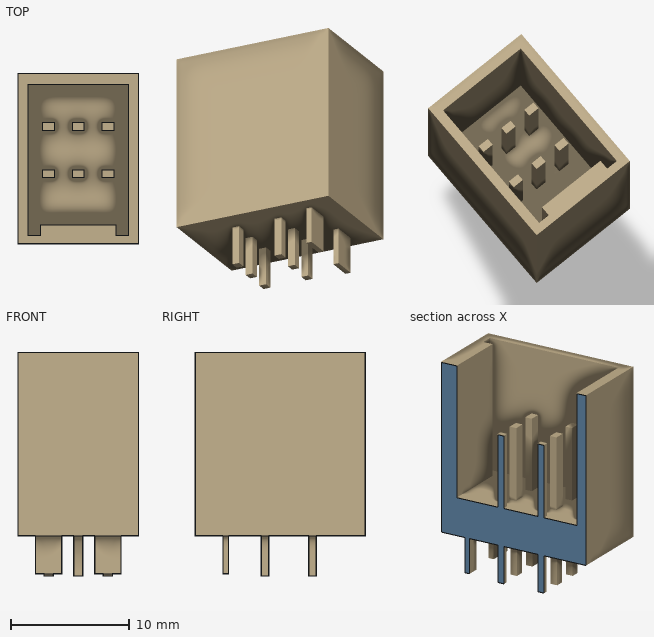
import cadquery as cq

BODY_X = 10.2
BODY_Y = 14.4
BODY_Z = 15.5

SIDE_WALL = 0.85
FRONT_WALL = 0.7
BACK_WALL = 0.95
FLOOR = 3.5

KEY_WIDTH = 6.4
KEY_DEPTH = 0.9

CONTACT_COLUMNS = 3
CONTACT_PITCH = 2.5
ROW_SPACING = 4.0
ROWS_OFFSET_Y = 0.72
CONTACT_THICKNESS = 0.65
BLADE_WIDTH = 1.0
TAIL_WIDTH = 0.8
TAIL_LENGTH = 3.4
BLADE_RECESS = 5.4

TAB_WIDTH = 2.25
TAB_THICKNESS = 0.5
TAB_LENGTH = 3.2
TAB_Y = -4.6


def block(size_x, size_y, x, y, z_bottom, z_top):
    """Upright box centred on (x, y) between two heights."""
    return (
        cq.Workplane("XY", origin=(x, y, z_bottom))
        .rect(size_x, size_y)
        .extrude(z_top - z_bottom)
    )


def make_housing():
    """Box with a deep cavity and the key rib on its front wall."""
    cavity_front = -BODY_Y / 2 + FRONT_WALL
    cavity_back = BODY_Y / 2 - BACK_WALL
    cavity = block(
        BODY_X - 2 * SIDE_WALL,
        cavity_back - cavity_front,
        0,
        (cavity_front + cavity_back) / 2,
        FLOOR,
        BODY_Z,
    )
    key = block(KEY_WIDTH, KEY_DEPTH, 0, cavity_front + KEY_DEPTH / 2, FLOOR, BODY_Z)
    return block(BODY_X, BODY_Y, 0, 0, 0, BODY_Z).cut(cavity.cut(key))


def make_contact(x, y):
    """Blade and tail of one contact, meeting inside the housing floor."""
    joint_z = FLOOR / 2
    blade = block(BLADE_WIDTH, CONTACT_THICKNESS, x, y, joint_z, BODY_Z - BLADE_RECESS)
    tail = block(TAIL_WIDTH, CONTACT_THICKNESS, x, y, -TAIL_LENGTH, joint_z)
    return blade.union(tail)


def make_tab(x):
    """Flat mounting tab, rooted in the housing floor."""
    return block(TAB_WIDTH, TAB_THICKNESS, x, TAB_Y, -TAB_LENGTH, FLOOR / 2)


outer_column_x = CONTACT_PITCH * (CONTACT_COLUMNS - 1) / 2

result = make_housing()
for column in range(CONTACT_COLUMNS):
    contact_x = column * CONTACT_PITCH - outer_column_x
    for side in (-1, 1):
        contact_y = ROWS_OFFSET_Y + side * ROW_SPACING / 2
        result = result.union(make_contact(contact_x, contact_y))
for side in (-1, 1):
    result = result.union(make_tab(side * outer_column_x))